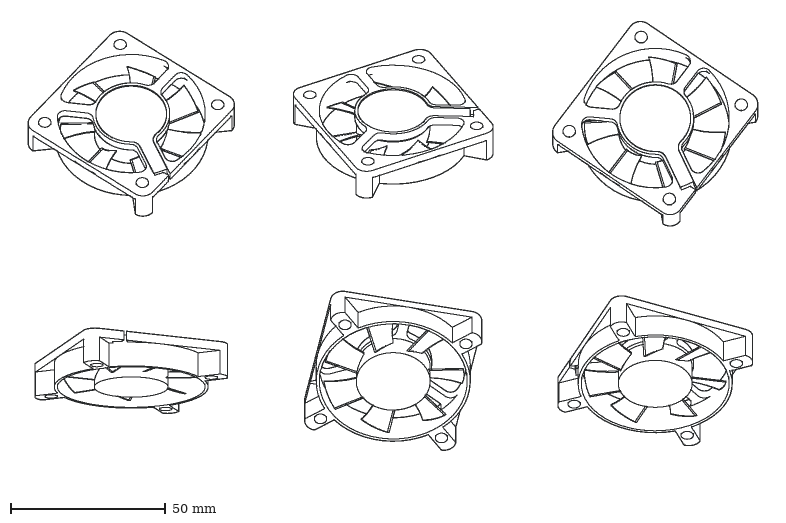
import cadquery as cq
import math

SIDE = 50.0
HEIGHT = 11.0
CORNER_RADIUS = 4.0
PLATE_THICKNESS = 3.0
PLATE_BOTTOM = HEIGHT - PLATE_THICKNESS
BARREL_RADIUS = SIDE / 2
BORE_RADIUS = 24.0
HOLE_DIAMETER = 4.0
HOLE_SPACING = 40.0

MOUNT_RADIUS = 12.5
SPOKE_WIDTH = 3.4
CABLE_SPOKE_WIDTH = 2 * SPOKE_WIDTH
CABLE_SPOKE_ANGLE = -30.0
SPOKE_WIDTHS = {
    90.0: SPOKE_WIDTH,
    210.0: SPOKE_WIDTH,
    CABLE_SPOKE_ANGLE: CABLE_SPOKE_WIDTH,
}
WINDOW_FILLET = 2.5

RIM = 1.0
RECESS_DEPTH = 0.5
RECESS_RADIUS = MOUNT_RADIUS - RIM
CHANNEL_WIDTH = CABLE_SPOKE_WIDTH - 2 * RIM
RECESS_FILLET = 3.0
NOTCH_END = 26.1
NOTCH_EDGE_Y = -12.45

ROTOR_RADIUS = 12.0
ROTOR_GAP = 0.75
ROTOR_HEIGHT = PLATE_BOTTOM - ROTOR_GAP
BLADE_COUNT = 7
BLADE_TIP_RADIUS = 23.0
BLADE_ROOT_RADIUS = 11.0
BLADE_LOW_X = -3.25
BLADE_LOW_Z = 2.0
BLADE_LOW_WIDTH = 0.6
BLADE_SAG = 0.15
BLADE_SECTIONS = [
    (10.5, 2.8, 5.6, 0.6),
    (17.0, 4.0, 5.8, 0.4),
    (23.5, 6.8, 6.0, 0.25),
]


def cylinder(radius, bottom, top):
    return cq.Workplane("XY").workplane(offset=bottom).circle(radius).extrude(top - bottom)


def radial_bar(angle, width, length, bottom, top):
    """Flat bar from the axis outward at the given angle."""
    bar = cq.Workplane("XY").box(length, width, top - bottom, centered=(False, True, False))
    return bar.rotate((0, 0, 0), (0, 0, 1), angle).translate((0, 0, bottom))


def make_windows():
    """Three rounded air openings between the spokes."""
    windows = cylinder(BORE_RADIUS, PLATE_BOTTOM, HEIGHT)
    windows = windows.cut(cylinder(MOUNT_RADIUS, PLATE_BOTTOM, HEIGHT))
    for angle, width in SPOKE_WIDTHS.items():
        windows = windows.cut(radial_bar(angle, width, SIDE, PLATE_BOTTOM, HEIGHT))
    return windows.edges("|Z").fillet(WINDOW_FILLET)


def make_recess():
    """Shallow round pocket that runs out along the cable spoke."""
    floor = HEIGHT - RECESS_DEPTH
    recess = cylinder(RECESS_RADIUS, floor, HEIGHT).union(
        radial_bar(CABLE_SPOKE_ANGLE, CHANNEL_WIDTH, NOTCH_END, floor, HEIGHT)
    )
    mouth = cq.selectors.BoxSelector((0, -RECESS_RADIUS - 0.5, 0), (RECESS_RADIUS + 0.5, 0, HEIGHT))
    return recess.edges("|Z").edges(mouth).fillet(RECESS_FILLET)


def make_notch():
    """Cable exit from the barrel wall to the +X side."""
    angle = math.radians(CABLE_SPOKE_ANGLE)

    def spoke_point(along, across):
        return (
            along * math.cos(angle) - across * math.sin(angle),
            along * math.sin(angle) + across * math.cos(angle),
        )

    half = CHANNEL_WIDTH / 2
    edge_x = SIDE / 2
    upper_along = (edge_x + half * math.sin(angle)) / math.cos(angle)
    lower_across = (NOTCH_EDGE_Y - NOTCH_END * math.sin(angle)) / math.cos(angle)
    outline = [
        spoke_point(BORE_RADIUS, half),
        spoke_point(upper_along, half),
        (edge_x, NOTCH_EDGE_Y),
        spoke_point(NOTCH_END, lower_across),
        spoke_point(NOTCH_END, -half),
        spoke_point(BORE_RADIUS, -half),
    ]
    notch = cq.Workplane("XY").polyline(outline).close().extrude(HEIGHT)
    return notch.cut(cylinder(BARREL_RADIUS, 0, HEIGHT))


def make_frame():
    block = cq.Workplane("XY").box(SIDE, SIDE, HEIGHT, centered=(True, True, False))
    block = block.edges("|Z").fillet(CORNER_RADIUS)

    lower = cylinder(BARREL_RADIUS, 0, PLATE_BOTTOM)
    post_width = CORNER_RADIUS * math.sqrt(2)
    for angle in (45, 135, 225, 315):
        lower = lower.union(radial_bar(angle, post_width, SIDE, 0, PLATE_BOTTOM))
    plate = cq.Workplane("XY").workplane(offset=PLATE_BOTTOM).rect(SIDE, SIDE).extrude(PLATE_THICKNESS)
    frame = block.intersect(plate.union(lower))

    holes = (
        cq.Workplane("XY")
        .rect(HOLE_SPACING, HOLE_SPACING, forConstruction=True)
        .vertices()
        .circle(HOLE_DIAMETER / 2)
        .extrude(HEIGHT)
    )
    frame = frame.cut(cylinder(BORE_RADIUS, 0, PLATE_BOTTOM)).cut(holes)
    return frame.cut(make_windows()).cut(make_recess()).cut(make_notch())


def make_blade():
    """Twisted blade along -Y, its high edge swept toward +X at the tip."""
    wires = []
    inner_low_x = BLADE_LOW_X + BLADE_LOW_WIDTH
    for distance, high_x, high_z, thickness in BLADE_SECTIONS:
        under_z = high_z - thickness
        top_middle = ((BLADE_LOW_X + high_x) / 2, (BLADE_LOW_Z + high_z) / 2 - BLADE_SAG)
        under_middle = ((inner_low_x + high_x) / 2, (BLADE_LOW_Z + under_z) / 2 - BLADE_SAG)
        section = (
            cq.Workplane("XZ", origin=(0, -distance, 0))
            .moveTo(BLADE_LOW_X, BLADE_LOW_Z)
            .threePointArc(top_middle, (high_x, high_z))
            .lineTo(high_x, under_z)
            .threePointArc(under_middle, (inner_low_x, BLADE_LOW_Z))
            .close()
        )
        wires.append(section.val())
    blade = cq.Workplane(cq.Solid.makeLoft(wires))
    sweep = cylinder(BLADE_TIP_RADIUS, 0, HEIGHT).cut(cylinder(BLADE_ROOT_RADIUS, 0, HEIGHT))
    return blade.intersect(sweep)


def make_rotor():
    rotor = cylinder(ROTOR_RADIUS, 0, ROTOR_HEIGHT)
    blade = make_blade()
    for index in range(BLADE_COUNT):
        rotor = rotor.union(blade.rotate((0, 0, 0), (0, 0, 1), index * 360 / BLADE_COUNT))
    return rotor


frame = make_frame()
rotor = make_rotor()
result = cq.Compound.makeCompound([frame.val(), rotor.val()])